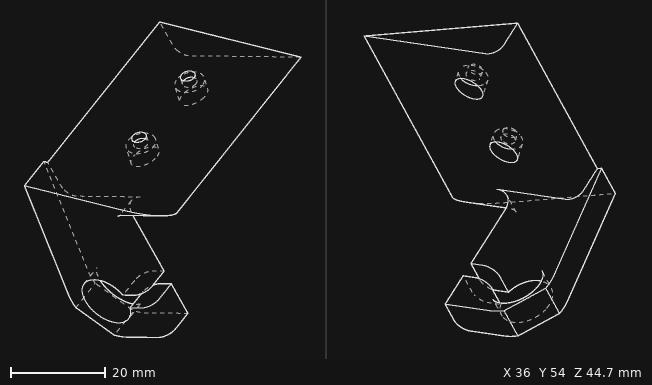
import cadquery as cq
import math

TILT = 30
TOP_ANGLE = -15
LENGTH = 54.0
LEG_THICKNESS = 8.0

BORE_RADIUS = 6.0
CLAMP_RADIUS = 10.0
SLOT_WIDTH = 3.5
LEG_EDGE_U = 12.0
CHORD_ANGLE = -49
CHORD_DISTANCE = 8.65

TOP_SPAN = 35.95
UNDERSIDE_V = 22.4
TIP_U = 31.05
PLATE_INSET = 0.95

EDGE_ROUND = 3.0
INNER_CORNER_RADIUS = 5.0

HOLE_DIAMETER = 3.2
COUNTERBORE_DIAMETER = 6.5
HOLE_DEPTH = 1.8
HOLE_FROM_CORNER = 16.25
HOLE_YS = (21.05, 41.1)

OVERSIZE = 21.6

tilt = math.radians(TILT)
slope = math.radians(TILT + TOP_ANGLE)
section = cq.Plane(
    origin=(0, 0, 0),
    xDir=(math.cos(tilt), 0, math.sin(tilt)),
    normal=(0, -1, 0),
)

top_angle = math.radians(TOP_ANGLE)
top_length = TOP_SPAN / math.cos(slope)
corner_u = TIP_U - top_length * math.cos(top_angle)
corner_v = UNDERSIDE_V - top_length * math.sin(top_angle)


def extrude_back(sketch, depth):
    return sketch.extrude(-depth)


def make_leg():
    corner_distance = math.hypot(corner_u, corner_v)
    tangent_angle = math.atan2(corner_v, corner_u) + math.acos(CLAMP_RADIUS / corner_distance)
    tangent_point = (
        CLAMP_RADIUS * math.cos(tangent_angle),
        CLAMP_RADIUS * math.sin(tangent_angle),
    )
    middle_angle = (tangent_angle + 1.5 * math.pi) / 2
    round_middle = (
        CLAMP_RADIUS * math.cos(middle_angle),
        CLAMP_RADIUS * math.sin(middle_angle),
    )
    stock_v = corner_v + OVERSIZE
    stock_u = TIP_U + OVERSIZE
    outline = (
        cq.Workplane(section)
        .moveTo(corner_u, corner_v)
        .lineTo(*tangent_point)
        .threePointArc(round_middle, (0, -CLAMP_RADIUS))
        .lineTo(LEG_EDGE_U, -CLAMP_RADIUS)
        .lineTo(LEG_EDGE_U, UNDERSIDE_V)
        .lineTo(stock_u, UNDERSIDE_V)
        .lineTo(stock_u, stock_v)
        .lineTo(corner_u, stock_v)
        .close()
    )
    leg = extrude_back(outline, LEG_THICKNESS)
    inner_corner = section.toWorldCoords((LEG_EDGE_U, UNDERSIDE_V, -LEG_THICKNESS / 2))
    leg = leg.edges(cq.NearestToPointSelector(inner_corner.toTuple())).fillet(INNER_CORNER_RADIUS)
    leg_edge_front = section.toWorldCoords((LEG_EDGE_U, 0, 0))
    return leg.edges(cq.NearestToPointSelector(leg_edge_front.toTuple())).fillet(EDGE_ROUND)


def make_clamp_flat():
    cutter = (
        cq.Workplane(section)
        .transformed(rotate=(0, 0, CHORD_ANGLE))
        .center(0, -CHORD_DISTANCE - OVERSIZE / 2)
        .rect(OVERSIZE, OVERSIZE)
    )
    return extrude_back(cutter, LEG_THICKNESS)


def make_plate():
    side_u = corner_u + PLATE_INSET
    outline = (
        cq.Workplane(section)
        .workplane(offset=-LEG_THICKNESS)
        .moveTo(side_u, UNDERSIDE_V)
        .lineTo(TIP_U + OVERSIZE, UNDERSIDE_V)
        .lineTo(TIP_U + OVERSIZE, corner_v + OVERSIZE)
        .lineTo(side_u, corner_v + OVERSIZE)
        .close()
    )
    plate = extrude_back(outline, LENGTH - LEG_THICKNESS)
    lower_corner = section.toWorldCoords((side_u, UNDERSIDE_V, -LENGTH / 2))
    return plate.edges(cq.NearestToPointSelector(lower_corner.toTuple())).fillet(EDGE_ROUND)


def make_stock_above_top():
    cutter = (
        cq.Workplane(section)
        .transformed(offset=(TIP_U, UNDERSIDE_V, 0), rotate=(0, 0, TOP_ANGLE))
        .rect(2 * (top_length + OVERSIZE), 4 * OVERSIZE, centered=(True, False))
    )
    return extrude_back(cutter, LENGTH)


def cut_bore_and_slot(leg):
    leg = leg.cut(extrude_back(cq.Workplane(section).circle(BORE_RADIUS), LEG_THICKNESS))
    back_centre = section.toWorldCoords((0, 0, -LEG_THICKNESS))
    back_rim = leg.faces(">Y").edges("%CIRCLE").edges(cq.NearestToPointSelector(back_centre.toTuple()))
    leg = back_rim.fillet(EDGE_ROUND)
    slot = cq.Workplane(section).rect(OVERSIZE, SLOT_WIDTH, centered=(False, True))
    return leg.cut(extrude_back(slot, LEG_THICKNESS))


def make_hole(y):
    hole_u = corner_u + HOLE_FROM_CORNER * math.cos(top_angle)
    hole_v = corner_v + HOLE_FROM_CORNER * math.sin(top_angle)
    top_plane = cq.Plane(
        origin=section.toWorldCoords((hole_u, hole_v, -y)).toTuple(),
        xDir=(math.cos(slope), 0, math.sin(slope)),
        normal=(-math.sin(slope), 0, math.cos(slope)),
    )
    hole = cq.Workplane(top_plane).circle(HOLE_DIAMETER / 2).extrude(-OVERSIZE)
    counterbore = (
        cq.Workplane(top_plane)
        .workplane(offset=-HOLE_DEPTH)
        .circle(COUNTERBORE_DIAMETER / 2)
        .extrude(-OVERSIZE)
    )
    return hole.union(counterbore)


leg = cut_bore_and_slot(make_leg()).cut(make_clamp_flat())
result = leg.union(make_plate()).cut(make_stock_above_top())
for hole_y in HOLE_YS:
    result = result.cut(make_hole(hole_y))